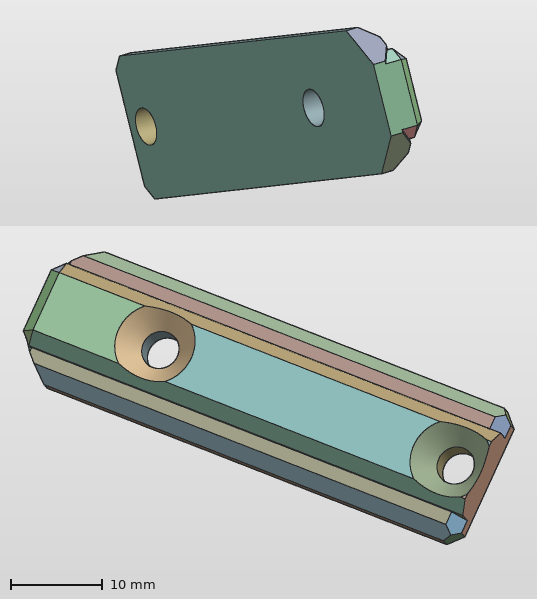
import cadquery as cq
import math

length = 55.0
flange_width = 16.05
flange_thickness = 3.05
near_corner_cut = 1.5
far_corner_cut = 4.0
edge_bevel = 1.5

pad_width = 10.0
pad_back = 5.05
pad_corner_cut = 1.3

hole_diameter = 4.2
countersink_diameter = 9.0
countersink_angle = 90
near_hole_offset = 3.5
hole_spacing = 36.5

slope_angle = 25
lean_angle = 1


def make_flange():
    """Plate with four cut corners and bevels on its straight back edges."""
    flange = cq.Workplane("XY").box(
        length, flange_thickness, flange_width, centered=(False, False, True)
    )
    flange = flange.faces(">Y").edges().chamfer(edge_bevel)
    half_width = flange_width / 2
    outline = (
        cq.Workplane("XZ")
        .moveTo(0, half_width - near_corner_cut)
        .lineTo(near_corner_cut, half_width)
        .lineTo(length - far_corner_cut, half_width)
        .lineTo(length, half_width - far_corner_cut)
        .lineTo(length, far_corner_cut - half_width)
        .lineTo(length - far_corner_cut, -half_width)
        .lineTo(near_corner_cut, -half_width)
        .lineTo(0, near_corner_cut - half_width)
        .close()
        .extrude(-flange_thickness)
    )
    return flange.intersect(outline)


def make_pad_corner_cutter():
    """Wedge trimming a far pad corner: upright facet, then a sloped triangle.

    The wedge profile lies in the vertical plane that bisects the corner.
    """
    facet_depth = pad_corner_cut / math.sqrt(2)
    bevel_tip_depth = edge_bevel * math.sqrt(2)
    bevel_start = pad_back - edge_bevel
    bisector_plane = cq.Plane(
        origin=(length, 0, pad_width / 2), xDir=(-1, 0, -1), normal=(1, 0, -1)
    )
    return (
        cq.Workplane(bisector_plane)
        .moveTo(0, 0)
        .lineTo(facet_depth, 0)
        .lineTo(facet_depth, bevel_start)
        .lineTo(bevel_tip_depth, pad_back)
        .lineTo(0, pad_back)
        .close()
        .extrude(pad_width / 2, both=True)
    )


def make_pad():
    """Raised central pad, beveled on its back except at the near end."""
    pad = cq.Workplane("XY").box(
        length, pad_back, pad_width, centered=(False, False, True)
    )
    pad = pad.faces(">Y").edges("not <X").chamfer(edge_bevel)
    corner_cutter = make_pad_corner_cutter()
    return pad.cut(corner_cutter).cut(corner_cutter.mirror("XY"))


def add_countersunk_holes(body):
    """Two through holes on the centerline, countersunk from the back."""
    hole_positions = [
        (near_hole_offset, 0),
        (near_hole_offset + hole_spacing, 0),
    ]
    back_plane = cq.Plane(origin=(0, pad_back, 0), xDir=(1, 0, 0), normal=(0, 1, 0))
    return (
        body.copyWorkplane(cq.Workplane(back_plane))
        .pushPoints(hole_positions)
        .cskHole(hole_diameter, countersink_diameter, countersink_angle)
    )


plate = add_countersunk_holes(make_flange().union(make_pad()))

plate = plate.rotate((0, 0, 0), (0, 0, 1), -lean_angle)
result = plate.rotate((0, 0, 0), (0, 1, 0), -slope_angle)